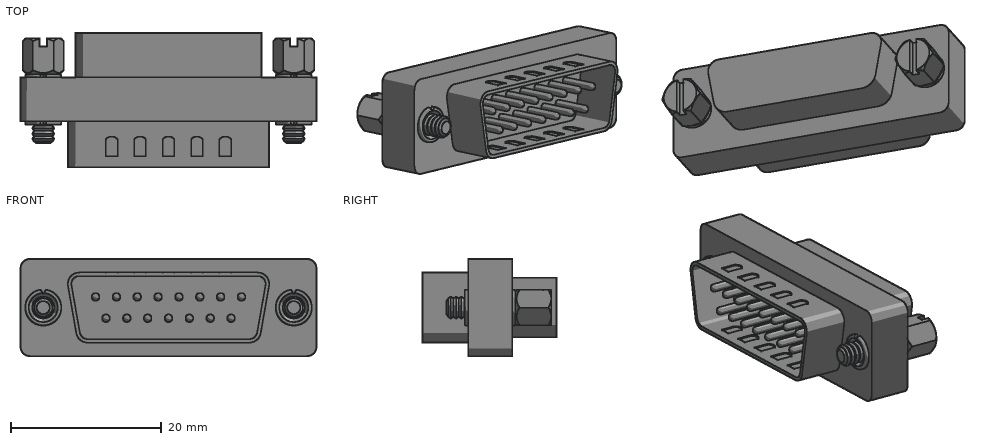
import cadquery as cq
import math


PLATE_WIDTH = 39.37
PLATE_HEIGHT = 12.95
PLATE_DEPTH = 5.85
PLATE_CORNER_RADIUS = 1.25

SIDE_ANGLE = math.radians(10)
UPPER_CORNER_RADIUS = 1.55
FRONT_LOWER_CORNER_RADIUS = 1.55
REAR_LOWER_CORNER_RADIUS = 2.0
FRONT_SHELL_WIDTH = 26.77
FRONT_SHELL_HEIGHT = 9.35
FRONT_SHELL_LENGTH = 6.1
REAR_SHELL_WIDTH = 24.75
REAR_SHELL_HEIGHT = 7.95
REAR_SHELL_LENGTH = 5.9
SHELL_WALL = 0.47

WINDOW_COUNT = 5
WINDOW_PITCH = 3.78
WINDOW_WIDTH = 1.57
WINDOW_REAR = -2.0
WINDOW_FRONT = -4.6
WINDOW_ARC_RISE = 0.4
WINDOW_DEPTH = 0.15

UPPER_PIN_COUNT = 8
LOWER_PIN_COUNT = UPPER_PIN_COUNT - 1
UPPER_ROW_SPAN = 19.4
PIN_PITCH = UPPER_ROW_SPAN / (UPPER_PIN_COUNT - 1)
PIN_ROW_SPACING = 2.85
PIN_RADIUS = 0.5
PIN_TIP = -5.3

SCREW_COUNT = 2
SCREW_SPACING = 33.3
HEX_ACROSS_FLATS = 4.72
HEX_CORNER_RADIUS = HEX_ACROSS_FLATS / math.sqrt(3)
HEX_REAR = PLATE_DEPTH + 5.2
HEX_REAR_CHAMFER = 0.4
HEX_FRONT_CHAMFER = 0.55
DRIVE_SLOT_WIDTH = 0.95
DRIVE_SLOT_DEPTH = 1.1
THREAD_RADIUS = 1.45
THREAD_ROOT_RADIUS = 1.22
THREAD_PITCH = 0.7
THREAD_COUNT = 4
LAST_CREST = -2.32
SCREW_TIP = -2.9
SCREW_TIP_RADIUS = 0.85
SCREW_TIP_CHAMFER = 0.28

FLANGE_RADIUS = 2.4
FRONT_FLANGE_THICKNESS = 0.47
REAR_FLANGE_THICKNESS = 0.4
FLANGE_ROUNDING = 0.25
BUSHING_RADIUS = 1.8
COUNTERSINK_RADIUS = 1.93
NOTCH_WIDTH = 0.8


def d_outline(width, height):
    """Rounded D-shape in the XZ plane, wide side up; width is measured over the rounded corners."""
    corner_overhang = UPPER_CORNER_RADIUS * ((1 + math.sin(SIDE_ANGLE)) / math.cos(SIDE_ANGLE) - 1)
    top_half = width / 2 + corner_overhang
    bottom_half = top_half - height * math.tan(SIDE_ANGLE)
    top = height / 2
    corners = [(-top_half, top), (top_half, top), (bottom_half, -top), (-bottom_half, -top)]
    return cq.Workplane("XZ").polyline(corners).close()


def d_prism(width, height, lower_radius, front, rear, inset=0.0):
    """D-shaped prism from y = front to y = rear, with its walls moved inwards by the inset."""
    prism = d_outline(width, height).extrude(rear - front)
    prism = prism.faces(">Z").edges("|Y").fillet(UPPER_CORNER_RADIUS)
    prism = prism.faces("<Z").edges("|Y").fillet(lower_radius)
    if inset:
        outline = prism.faces("<Y").wires().val().offset2D(-inset)[0]
        prism = cq.Workplane(obj=cq.Solid.extrudeLinear(outline, [], cq.Vector(0, rear - front, 0)))
    return prism.translate((0, front - prism.val().BoundingBox().ymin, 0))


def y_cylinder(radius, front, rear):
    """Cylinder on the Y axis from y = front to y = rear."""
    return cq.Workplane("XZ", origin=(0, rear, 0)).circle(radius).extrude(rear - front)


def make_window(center_x, floor_z):
    """Window cutter standing on its floor at the given height."""
    half = WINDOW_WIDTH / 2
    shoulder = WINDOW_REAR - WINDOW_ARC_RISE
    return (
        cq.Workplane("XY", origin=(center_x, 0, floor_z))
        .moveTo(-half, WINDOW_FRONT)
        .lineTo(half, WINDOW_FRONT)
        .lineTo(half, shoulder)
        .threePointArc((0, WINDOW_REAR), (-half, shoulder))
        .close()
        .extrude(WINDOW_DEPTH)
    )


def make_pin(x, z):
    """Pin with a hemispherical tip that stands on the front face of the plate."""
    tip_center = PIN_TIP + PIN_RADIUS
    tip = cq.Workplane("XY", origin=(0, tip_center, 0)).sphere(PIN_RADIUS)
    return y_cylinder(PIN_RADIUS, tip_center, 0).union(tip).translate((x, 0, z))


def row_positions(count, pitch):
    """X positions of evenly spaced features centred on the part."""
    return [(i - (count - 1) / 2) * pitch for i in range(count)]


def make_housing():
    housing = (
        cq.Workplane("XZ")
        .rect(PLATE_WIDTH, PLATE_HEIGHT)
        .extrude(-PLATE_DEPTH)
        .edges("|Y")
        .fillet(PLATE_CORNER_RADIUS)
    )
    shell_front = -FRONT_SHELL_LENGTH
    shell_rear = PLATE_DEPTH + REAR_SHELL_LENGTH
    front_d = (FRONT_SHELL_WIDTH, FRONT_SHELL_HEIGHT, FRONT_LOWER_CORNER_RADIUS)
    rear_d = (REAR_SHELL_WIDTH, REAR_SHELL_HEIGHT, REAR_LOWER_CORNER_RADIUS)
    housing = housing.union(d_prism(*front_d, shell_front, 0))
    housing = housing.union(d_prism(*rear_d, PLATE_DEPTH, shell_rear))
    housing = housing.cut(d_prism(*front_d, shell_front, 0, SHELL_WALL))

    upper_floor = FRONT_SHELL_HEIGHT / 2 - WINDOW_DEPTH
    lower_floor = SHELL_WALL - FRONT_SHELL_HEIGHT / 2 - WINDOW_DEPTH
    for x in row_positions(WINDOW_COUNT, WINDOW_PITCH):
        housing = housing.cut(make_window(x, upper_floor)).cut(make_window(x, lower_floor))

    for x in row_positions(UPPER_PIN_COUNT, PIN_PITCH):
        housing = housing.union(make_pin(x, PIN_ROW_SPACING / 2))
    for x in row_positions(LOWER_PIN_COUNT, PIN_PITCH):
        housing = housing.union(make_pin(x, -PIN_ROW_SPACING / 2))

    for x in row_positions(SCREW_COUNT, SCREW_SPACING):
        housing = housing.cut(y_cylinder(BUSHING_RADIUS, 0, PLATE_DEPTH).translate((x, 0, 0)))
    return housing


def make_bushing(center_x):
    """Flanged bushing with a countersunk front and a V-notch at the top of both flanges."""
    front = -FRONT_FLANGE_THICKNESS
    rear = PLATE_DEPTH + REAR_FLANGE_THICKNESS
    front_flange = y_cylinder(FLANGE_RADIUS, front, 0).faces("<Y").edges().fillet(FLANGE_ROUNDING)
    rear_flange = y_cylinder(FLANGE_RADIUS, PLATE_DEPTH, rear).faces(">Y").edges().fillet(FLANGE_ROUNDING)
    sleeve = y_cylinder(BUSHING_RADIUS, front, rear)
    bore = y_cylinder(THREAD_RADIUS, front, rear)
    countersink = (
        cq.Workplane("XY")
        .polyline([(0, 0), (THREAD_RADIUS, 0), (COUNTERSINK_RADIUS, front), (0, front)])
        .close()
        .revolve(360, (0, 0), (0, 1))
    )
    notch = (
        cq.Workplane("XZ", origin=(0, rear, 0))
        .polyline([(0, BUSHING_RADIUS), (NOTCH_WIDTH / 2, FLANGE_RADIUS), (-NOTCH_WIDTH / 2, FLANGE_RADIUS)])
        .close()
        .extrude(rear - front)
    )
    bushing = sleeve.union(front_flange).union(rear_flange).cut(bore).cut(countersink).cut(notch)
    return bushing.translate((center_x, 0, 0))


def make_hex_head():
    """Hexagon with corners along X, both ends chamfered by a cone, and a screwdriver slot."""
    front = PLATE_DEPTH + REAR_FLANGE_THICKNESS
    length = HEX_REAR - front
    hexagon = cq.Workplane("XZ", origin=(0, HEX_REAR, 0)).polygon(6, 2 * HEX_CORNER_RADIUS).extrude(length)
    chamfer_cones = y_cylinder(HEX_CORNER_RADIUS, front, HEX_REAR)
    chamfer_cones = chamfer_cones.faces("<Y").edges().chamfer(HEX_FRONT_CHAMFER)
    chamfer_cones = chamfer_cones.faces(">Y").edges().chamfer(HEX_REAR_CHAMFER)
    slot = cq.Workplane("XY").box(DRIVE_SLOT_WIDTH, 2 * DRIVE_SLOT_DEPTH, 2 * HEX_CORNER_RADIUS)
    return hexagon.intersect(chamfer_cones).cut(slot.translate((0, HEX_REAR, 0)))


def make_shank():
    """Plain shank through the bushing, then ring-shaped V threads and a tapered tip."""
    rear = PLATE_DEPTH + REAR_FLANGE_THICKNESS
    profile = [(0, rear), (THREAD_RADIUS, rear)]
    for i in reversed(range(THREAD_COUNT)):
        crest = LAST_CREST + i * THREAD_PITCH
        profile.append((THREAD_RADIUS, crest))
        profile.append((THREAD_ROOT_RADIUS, crest - THREAD_PITCH / 2))
    profile += [(THREAD_ROOT_RADIUS, SCREW_TIP + SCREW_TIP_CHAMFER), (SCREW_TIP_RADIUS, SCREW_TIP)]
    profile.append((0, SCREW_TIP))
    return cq.Workplane("XY").polyline(profile).close().revolve(360, (0, 0), (0, 1))


def make_jackscrew(center_x):
    return make_hex_head().union(make_shank()).translate((center_x, 0, 0))


housing = make_housing()
bushings = [make_bushing(x) for x in row_positions(SCREW_COUNT, SCREW_SPACING)]
jackscrews = [make_jackscrew(x) for x in row_positions(SCREW_COUNT, SCREW_SPACING)]

result = cq.Compound.makeCompound(
    [
        housing.val(),
        *[bushing.val() for bushing in bushings],
        *[screw.val() for screw in jackscrews],
    ]
)